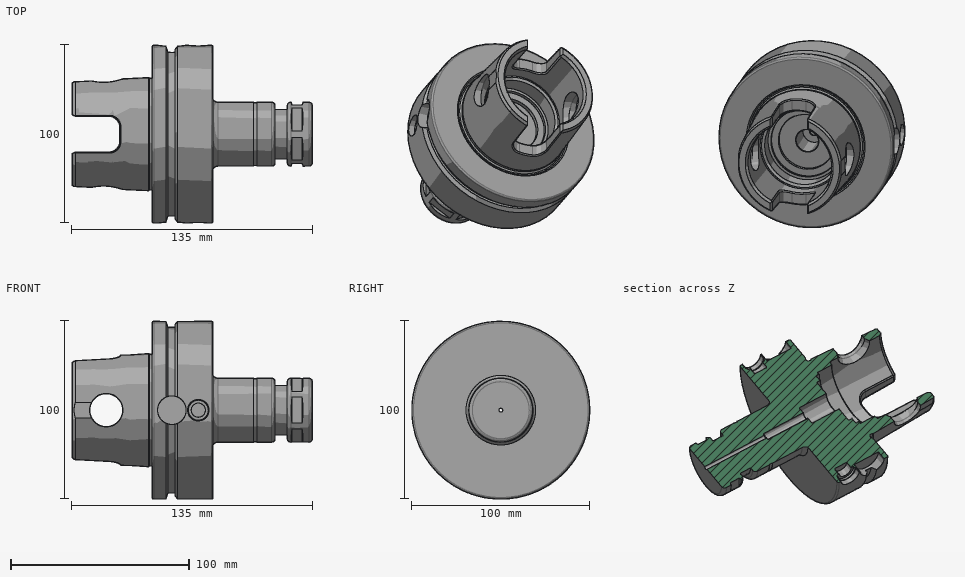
import cadquery as cq
import math

TOTAL_LENGTH = 135.0

SHANK_LENGTH = 45.0
TAPER_LARGE_RADIUS = 31.9
TAPER_LARGE_X = 42.9
TAPER_RATE = 0.05
TAIL_CHAMFER_LENGTH = 1.8
TAIL_CHAMFER_DEPTH = 1.0
NECK_RADIUS = 31.5
NECK_STEP = 0.5
FACE_RELIEF_DEPTH = 0.5
FACE_RELIEF_FOOT_RADIUS = 32.5
FACE_RELIEF_INNER_RADIUS = 33.3
FACE_RELIEF_OUTER_RADIUS = 34.2

FLANGE_RADIUS = 100.0 / 2
FLANGE_END_X = 79.1
FLANGE_ROUND = 1.0
GROOVE_RADIUS = 46.7
GROOVE_SHOULDER_RADIUS = 48.0
GROOVE_LEFT_RIM_X = 52.6
GROOVE_LEFT_X = 53.9
GROOVE_RIGHT_X = 57.6
GROOVE_RIGHT_RIM_X = 59.3

NOSE_RADIUS = 36.0 / 2
NOSE_ROOT_LENGTH = 2.8
NOSE_ROOT_ROUND = 3.4
NOSE_GROOVE_X = 101.8
NOSE_GROOVE_WIDTH = 2.0
NOSE_GROOVE_DEPTH = 0.3
NOSE_END_X = 114.1
COLLAR_RADIUS = 28.0 / 2
NUT_START_X = 120.8
END_ROUND = 2.0
NUT_FLAT_COUNT = 6
NUT_FLAT_RADIUS = 16.5
NUT_FLAT_START_X = 123.5
NUT_FLAT_LENGTH = 5.7
NUT_FLAT_RAMP = 0.5

BORE_RADIUS = 24.0
BORE_MOUTH_RADIUS = 25.2
BORE_MOUTH_LENGTH = 1.8
BORE_END_X = 35.0
SEAT_OUTER_RADIUS = 23.2
SEAT_RADIUS = 21.6
SEAT_RAMP = 0.7
SEAT_END_X = 45.1
INNER_BORE_RADIUS = 20.0
INNER_BORE_END_X = 47.0
FLOOR_RECESS_RADIUS = 16.0
FLOOR_RECESS_END_X = 49.3
COUNTERBORE_RADIUS = 12.8 / 2
COUNTERBORE_MOUTH_RADIUS = 13.4 / 2
COUNTERBORE_END_X = 67.5
SCREW_HOLE_RADIUS = 4.5 / 2
SCREW_HOLE_MOUTH_RADIUS = 5.0 / 2
SCREW_HOLE_END_X = 94.5
COOLANT_RADIUS = 2.0 / 2

SLOT_END_X = 26.7
SLOT_HALF_WIDTH = 10.0
SLOT_CORNER_RADIUS = 6.1
SLOT_MOUTH_CHAMFER = 1.0
SLOT_EDGE_CHAMFER = 0.7

CROSS_HOLE_DIAMETER = 18.5
CROSS_HOLE_X = 19.2
CROSS_HOLE_FLARE_ANGLE = 27.0
CROSS_HOLE_FLARE_START_Y = 27.0
CROSS_HOLE_FLARE_END_Y = 20.9
SHANK_FLAT_HALF_WIDTH = 4.3
POCKET_DIAMETER = 16.0
POCKET_X = 56.0
POCKET_FLOOR_Y = 44.3
SIDE_HOLE_X = 70.9
SIDE_HOLE_DIAMETER = 11.2
SIDE_HOLE_MOUTH_DIAMETER = 12.0
SIDE_HOLE_MOUTH_DEPTH = 3.5
SIDE_HOLE_DEPTH = 4.9
SIDE_HOLE_PILOT_DIAMETER = 8.0
SIDE_HOLE_PILOT_DEPTH = 9.5


def taper_radius(x):
    return TAPER_LARGE_RADIUS - TAPER_RATE * (TAPER_LARGE_X - x)


def turned(outline):
    """Turn an (x, radius) outline about the X axis."""
    return outline.close().revolve(360, (0, 0, 0), (1, 0, 0))


def rounded_corner(outline, x, radius, size, direction):
    """Convex quarter round; direction is +1 on the way out from the axis, -1 on the way in."""
    offset = size * (1 - math.sqrt(0.5))
    if direction > 0:
        return (
            outline.lineTo(x, radius - size)
            .threePointArc((x + offset, radius - offset), (x + size, radius))
        )
    return (
        outline.lineTo(x - size, radius)
        .threePointArc((x - offset, radius - offset), (x, radius - size))
    )


def make_shank():
    relief_x = SHANK_LENGTH + FACE_RELIEF_DEPTH
    tail_radius = taper_radius(TAIL_CHAMFER_LENGTH)
    return turned(
        cq.Workplane("XY")
        .moveTo(0, 0)
        .lineTo(0, tail_radius - TAIL_CHAMFER_DEPTH)
        .lineTo(TAIL_CHAMFER_LENGTH, tail_radius)
        .lineTo(TAPER_LARGE_X, TAPER_LARGE_RADIUS)
        .lineTo(TAPER_LARGE_X + NECK_STEP, NECK_RADIUS)
        .lineTo(SHANK_LENGTH, NECK_RADIUS)
        .lineTo(relief_x, FACE_RELIEF_FOOT_RADIUS)
        .lineTo(relief_x, 0)
    )


def make_flange():
    relief_x = SHANK_LENGTH + FACE_RELIEF_DEPTH
    outline = (
        cq.Workplane("XY")
        .moveTo(relief_x, 0)
        .lineTo(relief_x, FACE_RELIEF_INNER_RADIUS)
        .lineTo(SHANK_LENGTH, FACE_RELIEF_OUTER_RADIUS)
    )
    outline = rounded_corner(outline, SHANK_LENGTH, FLANGE_RADIUS, FLANGE_ROUND, 1)
    outline = (
        outline.lineTo(GROOVE_LEFT_RIM_X, FLANGE_RADIUS)
        .lineTo(GROOVE_LEFT_X, GROOVE_RADIUS)
        .lineTo(GROOVE_RIGHT_X, GROOVE_RADIUS)
        .lineTo(GROOVE_RIGHT_X, GROOVE_SHOULDER_RADIUS)
        .lineTo(GROOVE_RIGHT_RIM_X, FLANGE_RADIUS)
    )
    outline = rounded_corner(outline, FLANGE_END_X, FLANGE_RADIUS, FLANGE_ROUND, -1)
    return turned(outline.lineTo(FLANGE_END_X, 0))


def make_nose():
    root_end_x = FLANGE_END_X + NOSE_ROOT_LENGTH

    def root_radius(x):
        drop = math.sqrt(NOSE_ROOT_ROUND**2 - (root_end_x - x) ** 2)
        return NOSE_RADIUS + NOSE_ROOT_ROUND - drop

    root_middle_x = FLANGE_END_X + NOSE_ROOT_LENGTH / 2
    groove_radius = NOSE_RADIUS - NOSE_GROOVE_DEPTH
    groove_end_x = NOSE_GROOVE_X + NOSE_GROOVE_WIDTH
    outline = (
        cq.Workplane("XY")
        .moveTo(FLANGE_END_X, 0)
        .lineTo(FLANGE_END_X, root_radius(FLANGE_END_X))
        .threePointArc((root_middle_x, root_radius(root_middle_x)), (root_end_x, NOSE_RADIUS))
        .lineTo(NOSE_GROOVE_X, NOSE_RADIUS)
        .lineTo(NOSE_GROOVE_X, groove_radius)
        .lineTo(groove_end_x, groove_radius)
        .lineTo(groove_end_x, NOSE_RADIUS)
    )
    outline = rounded_corner(outline, NOSE_END_X, NOSE_RADIUS, END_ROUND, -1)
    outline = outline.lineTo(NOSE_END_X, COLLAR_RADIUS).lineTo(NUT_START_X, COLLAR_RADIUS)
    outline = rounded_corner(outline, NUT_START_X, NOSE_RADIUS, END_ROUND, 1)
    outline = rounded_corner(outline, TOTAL_LENGTH, NOSE_RADIUS, END_ROUND, -1)
    return turned(outline.lineTo(TOTAL_LENGTH, 0))


def make_bore():
    counterbore_lip = COUNTERBORE_MOUTH_RADIUS - COUNTERBORE_RADIUS
    screw_lip = SCREW_HOLE_MOUTH_RADIUS - SCREW_HOLE_RADIUS
    return turned(
        cq.Workplane("XY")
        .moveTo(0, 0)
        .lineTo(0, BORE_MOUTH_RADIUS)
        .lineTo(BORE_MOUTH_LENGTH, BORE_RADIUS)
        .lineTo(BORE_END_X, BORE_RADIUS)
        .lineTo(BORE_END_X, SEAT_OUTER_RADIUS)
        .lineTo(BORE_END_X + SEAT_RAMP, SEAT_RADIUS)
        .lineTo(SEAT_END_X, SEAT_RADIUS)
        .lineTo(SEAT_END_X, INNER_BORE_RADIUS)
        .lineTo(INNER_BORE_END_X, INNER_BORE_RADIUS)
        .lineTo(INNER_BORE_END_X, FLOOR_RECESS_RADIUS)
        .lineTo(FLOOR_RECESS_END_X, FLOOR_RECESS_RADIUS)
        .lineTo(FLOOR_RECESS_END_X, COUNTERBORE_MOUTH_RADIUS)
        .lineTo(FLOOR_RECESS_END_X + counterbore_lip, COUNTERBORE_RADIUS)
        .lineTo(COUNTERBORE_END_X, COUNTERBORE_RADIUS)
        .lineTo(COUNTERBORE_END_X, SCREW_HOLE_MOUTH_RADIUS)
        .lineTo(COUNTERBORE_END_X + screw_lip, SCREW_HOLE_RADIUS)
        .lineTo(SCREW_HOLE_END_X, SCREW_HOLE_RADIUS)
        .lineTo(SCREW_HOLE_END_X, COOLANT_RADIUS)
        .lineTo(TOTAL_LENGTH, COOLANT_RADIUS)
        .lineTo(TOTAL_LENGTH, 0)
    )


def make_drive_slots():
    """One cutter that opens both slots, with its mouth flared at the tail."""
    height = 2 * FLANGE_RADIUS
    mouth_half_width = SLOT_HALF_WIDTH + SLOT_MOUTH_CHAMFER
    slot = (
        cq.Workplane("XY")
        .box(2 * SLOT_END_X, 2 * SLOT_HALF_WIDTH, height)
        .edges("|Z and >X")
        .fillet(SLOT_CORNER_RADIUS)
    )
    mouth = (
        cq.Workplane("XY")
        .moveTo(0, -mouth_half_width)
        .lineTo(TAIL_CHAMFER_LENGTH, -SLOT_HALF_WIDTH)
        .lineTo(TAIL_CHAMFER_LENGTH, SLOT_HALF_WIDTH)
        .lineTo(0, mouth_half_width)
        .close()
        .extrude(height / 2, both=True)
    )
    return slot.union(mouth)


def side_cylinder(x, diameter, inner_y, outer_y):
    """Cylinder along -Y from inner_y to outer_y, both measured from the axis."""
    return (
        cq.Workplane("XZ", origin=(x, -inner_y, 0))
        .circle(diameter / 2)
        .extrude(outer_y - inner_y)
    )


def make_cross_hole_flare():
    """Flare that widens the cross hole along X only, on its way to the bore."""
    radius = CROSS_HOLE_DIAMETER / 2
    depth = CROSS_HOLE_FLARE_START_Y - CROSS_HOLE_FLARE_END_Y
    growth = depth * math.tan(math.radians(CROSS_HOLE_FLARE_ANGLE))
    return (
        cq.Workplane("XZ", origin=(CROSS_HOLE_X, -CROSS_HOLE_FLARE_START_Y, 0))
        .circle(radius)
        .workplane(offset=-depth)
        .ellipse(radius + growth, radius)
        .loft(ruled=True)
    )


def make_shank_flat():
    """Flat parallel to the taper, from the tail to the cross hole."""
    def flat_y(x):
        return -math.sqrt(taper_radius(x) ** 2 - SHANK_FLAT_HALF_WIDTH**2)

    return (
        cq.Workplane("XY")
        .moveTo(0, flat_y(0))
        .lineTo(CROSS_HOLE_X, flat_y(CROSS_HOLE_X))
        .lineTo(CROSS_HOLE_X, -FLANGE_RADIUS)
        .lineTo(0, -FLANGE_RADIUS)
        .close()
        .extrude(SHANK_FLAT_HALF_WIDTH, both=True)
    )


def make_side_features():
    """Cutters of the -Y side."""
    hole_floor_y = FLANGE_RADIUS - SIDE_HOLE_DEPTH
    pilot_floor_y = FLANGE_RADIUS - SIDE_HOLE_PILOT_DEPTH
    mouth_y = FLANGE_RADIUS - SIDE_HOLE_MOUTH_DEPTH
    return [
        side_cylinder(CROSS_HOLE_X, CROSS_HOLE_DIAMETER, 0, FLANGE_RADIUS),
        make_cross_hole_flare(),
        make_shank_flat(),
        side_cylinder(POCKET_X, POCKET_DIAMETER, POCKET_FLOOR_Y, FLANGE_RADIUS),
        side_cylinder(SIDE_HOLE_X, SIDE_HOLE_MOUTH_DIAMETER, mouth_y, FLANGE_RADIUS),
        side_cylinder(SIDE_HOLE_X, SIDE_HOLE_DIAMETER, hole_floor_y, FLANGE_RADIUS),
        side_cylinder(SIDE_HOLE_X, SIDE_HOLE_PILOT_DIAMETER, pilot_floor_y, FLANGE_RADIUS),
    ]


def make_nut_flat():
    """Cutter of the wrench flat at -Y, with both ends sloping outward."""
    end_x = NUT_FLAT_START_X + NUT_FLAT_LENGTH
    return (
        cq.Workplane("XY")
        .moveTo(NUT_FLAT_START_X, -NUT_FLAT_RADIUS)
        .lineTo(end_x, -NUT_FLAT_RADIUS)
        .lineTo(end_x + NUT_FLAT_RAMP, -NOSE_RADIUS)
        .lineTo(NUT_FLAT_START_X - NUT_FLAT_RAMP, -NOSE_RADIUS)
        .close()
        .extrude(NOSE_RADIUS, both=True)
    )


def chamfer_slot_rims(body):
    """Break the slot rims where they meet the taper and the bore, at +Z and -Z."""
    margin = 0.1
    inner_z = BORE_RADIUS - SLOT_HALF_WIDTH
    for side in (1, -1):
        rims = cq.selectors.BoxSelector(
            (TAIL_CHAMFER_LENGTH + margin, -SLOT_HALF_WIDTH - margin, side * inner_z),
            (SLOT_END_X + margin, SLOT_HALF_WIDTH + margin, side * TAPER_LARGE_RADIUS),
        )
        body = body.edges(rims).edges("not |Z").chamfer(SLOT_EDGE_CHAMFER)
    return body


result = make_shank().union(make_flange()).union(make_nose())
result = result.cut(make_bore()).cut(make_drive_slots())
result = chamfer_slot_rims(result)

for feature in make_side_features():
    result = result.cut(feature).cut(feature.rotate((0, 0, 0), (1, 0, 0), 180))

for index in range(NUT_FLAT_COUNT):
    angle = index * 360 / NUT_FLAT_COUNT
    result = result.cut(make_nut_flat().rotate((0, 0, 0), (1, 0, 0), angle))